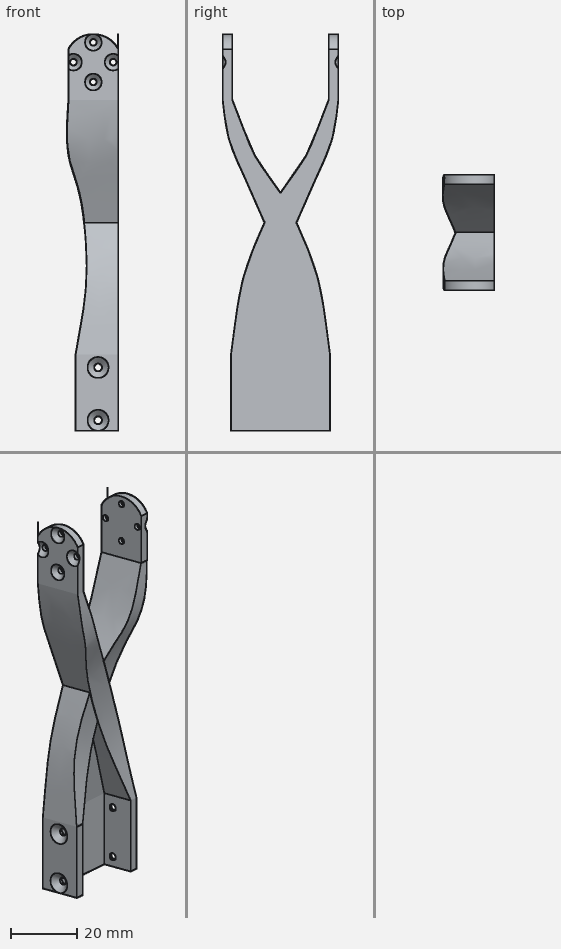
import cadquery as cq
import math

total_height = 120.0
wall = 3.0

base_half_width = 15.0
base_depth = 13.0
base_height = 23.2

pad_half_span = 17.5
pad_width = 15.1
pad_bottom = 100.1
pad_round_radius = 8.5
pad_center_x = -pad_width / 2
pad_center_z = total_height - pad_round_radius
needle_size = 0.1

arms_top_crossing = 72.0
arms_bottom_crossing = 52.0
arm_step = 0.1
web_top_thickness = 6.0

base_hole_diameter = 2.3
base_sink_diameter = 6.4
base_hole_x = -6.1
base_hole_heights = (3.2, 19.2)
pad_hole_diameter = 1.9
pad_sink_diameter = 5.0
pad_hole_circle_radius = 6.0


def slab(outline, y_start, y_end):
    """Extrude an X-Z outline from y_start to the larger y_end."""
    return outline.extrude(-(y_end - y_start)).translate((0, y_start, 0))


def make_base():
    """Channel open towards -X."""
    block = cq.Workplane("XY").box(
        base_depth, 2 * base_half_width, base_height, centered=(False, True, False)
    ).translate((-base_depth, 0, 0))
    channel = cq.Workplane("XY").box(
        base_depth - wall, 2 * (base_half_width - wall), base_height, centered=(False, True, False)
    ).translate((-base_depth, 0, 0))
    return block.cut(channel)


def make_pad():
    """Round-topped pad on the +Y side, with a needle at its outer back corner."""
    half_width = pad_width / 2
    shoulder = pad_center_z + math.sqrt(pad_round_radius**2 - half_width**2)
    outline = (
        cq.Workplane("XZ")
        .moveTo(0, pad_bottom)
        .lineTo(0, shoulder)
        .threePointArc((pad_center_x, total_height), (-pad_width, shoulder))
        .lineTo(-pad_width, pad_bottom)
        .close()
    )
    pad = slab(outline, pad_half_span - wall, pad_half_span)
    needle = cq.Workplane("XY").box(
        needle_size, needle_size, total_height - pad_bottom, centered=False
    ).translate((-needle_size, pad_half_span - needle_size, pad_bottom))
    return pad.union(needle)


def make_arm():
    """Curved strip from the -Y base wall to the +Y pad, before its front is shaped."""
    base_inner = base_half_width - wall
    pad_inner = pad_half_span - wall
    inner_edge = [(11.3, 91.5), (7.7, 83.2), (0, arms_top_crossing), (-4.8, 63.1), (-8.2, 55.3),
                  (-11.3, 46.2), (-13.2, 36.5), (-base_half_width, base_height)]
    outer_edge = [(0, arms_bottom_crossing), (4.9, 63.1), (9.1, 72.8),
                  (13.0, 81.2), (15.6, 88.2), (17.0, 96.0), (pad_half_span, pad_bottom)]
    return (
        cq.Workplane("YZ")
        .moveTo(pad_inner, pad_bottom)
        .spline(inner_edge, includeCurrent=True)
        .lineTo(-base_inner, base_height)
        .spline(outer_edge, includeCurrent=True)
        .close()
        .extrude(-2 * pad_width)
    )


def make_front_shape(inset):
    """Solid whose front follows the waisted depth of the arms."""
    waist = [(-11.0, 34.0), (-9.8, 43.2), (-9.7, 55.2), (-10.3, 62.9), (-12.6, 74.8),
             (-14.8, 81.6), (-15.6, 91.2), (-pad_width, pad_bottom)]
    outline = (
        cq.Workplane("XZ")
        .moveTo(0, base_height)
        .lineTo(-base_depth, base_height)
        .spline(waist, includeCurrent=True)
        .lineTo(0, pad_bottom)
        .close()
    )
    shape = slab(outline, -pad_half_span, pad_half_span)
    back_half_space = cq.Workplane("XY").box(
        2 * pad_width, 2 * pad_half_span, total_height, centered=(False, True, False)
    )
    return shape.translate((inset, 0, 0)).cut(back_half_space)


def make_web():
    """Triangular back wall between the arms, thickening towards their crossing."""
    side_outline = (
        cq.Workplane("XZ")
        .moveTo(0, base_height)
        .lineTo(-wall, base_height)
        .lineTo(-web_top_thickness, arms_bottom_crossing)
        .lineTo(0, arms_bottom_crossing)
        .close()
    )
    triangle = (
        cq.Workplane("YZ")
        .moveTo(-base_half_width, base_height)
        .lineTo(base_half_width, base_height)
        .lineTo(0, arms_bottom_crossing + wall)
        .close()
        .extrude(-base_depth)
    )
    return slab(side_outline, -base_half_width, base_half_width).intersect(triangle)


def countersunk_hole(x, z, outer_y, hole_diameter, sink_diameter):
    """Cutter entering a +Y wall: a 90 degree countersink and a through hole."""
    hole_radius = hole_diameter / 2
    sink_radius = sink_diameter / 2
    inward = cq.Vector(0, -1, 0)
    start = cq.Vector(x, outer_y, z)
    hole = cq.Solid.makeCylinder(hole_radius, wall, start, inward)
    sink = cq.Solid.makeCone(sink_radius, hole_radius, sink_radius - hole_radius, start, inward)
    return cq.Workplane(obj=hole).union(cq.Workplane(obj=sink))


arm = make_arm()
front_arm = arm.intersect(make_front_shape(0))
rear_arm = arm.mirror("XZ").intersect(make_front_shape(arm_step))
pad = make_pad()
result = make_base().union(make_web()).union(front_arm).union(rear_arm)
result = result.union(pad).union(pad.mirror("XZ"))

cutters = [
    countersunk_hole(base_hole_x, z, base_half_width, base_hole_diameter, base_sink_diameter)
    for z in base_hole_heights
]
for dx, dz in ((1, 0), (0, 1), (-1, 0), (0, -1)):
    hole_x = pad_center_x + dx * pad_hole_circle_radius
    hole_z = pad_center_z + dz * pad_hole_circle_radius
    cutters.append(
        countersunk_hole(hole_x, hole_z, pad_half_span, pad_hole_diameter, pad_sink_diameter)
    )
for cutter in cutters:
    result = result.cut(cutter).cut(cutter.mirror("XZ"))